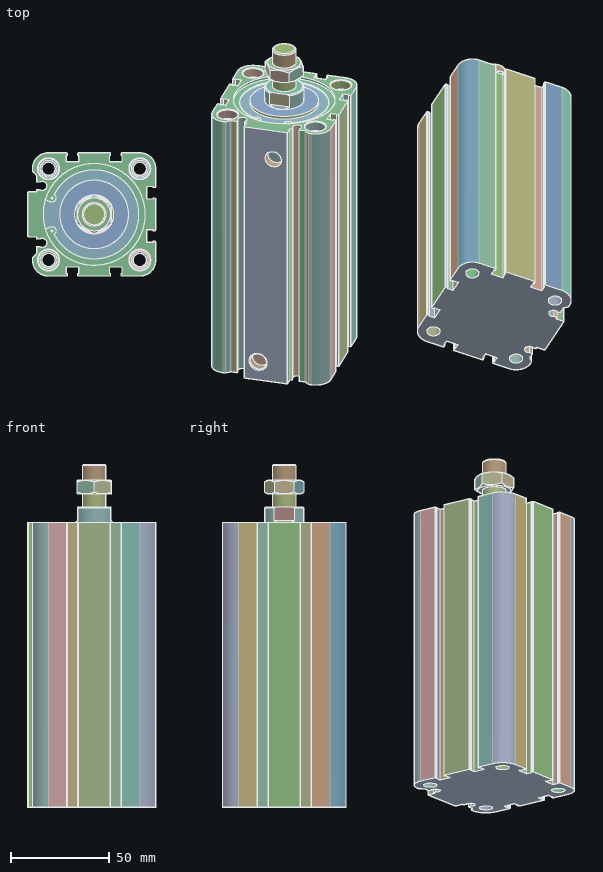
import cadquery as cq
import math

TOTAL_HEIGHT = 175.0
HOUSING_HEIGHT = 145.5
HOUSING_SIZE = 63.0
HALF = HOUSING_SIZE / 2

BOLT_OFFSET = 23.3
CORNER_RADIUS = HALF - BOLT_OFFSET
BOLT_HOLE_D = 6.6
BOLT_CHAMFER_D = 8.5
COUNTERBORE_D = 10.5
COUNTERBORE_CHAMFER = 0.4
COUNTERBORE_DEPTH = 5.2

SLOT_OFFSET = 11.0
SLOT_MOUTH_WIDTH = 5.2
SLOT_MOUTH_CHAMFER = 0.4
SLOT_INNER_WIDTH = 6.3
SLOT_LIP = 1.4
SLOT_DEPTH = 4.5

PORT_FACE_X = -34.0
RECESS_FACE_X = -29.4
RECESS_HALF_WIDTH = 20.0
RECESS_RAMP = HALF + RECESS_FACE_X
RECESS_FILLET = 0.7
BLOCK_HALF_WIDTH = 11.5
BLOCK_CHAMFER = 0.4
KEYHOLE_OFFSET = 14.5
KEYHOLE_MOUTH_WIDTH = 3.8
KEYHOLE_D = 4.5
KEYHOLE_X = -26.5

PORT_D = 8.5
PORT_DEPTH = 4.7
PORT_OFFSET = 4.0
UPPER_PORT_Z = HOUSING_HEIGHT - 16.5
LOWER_PORT_Z = 10.5
LOWER_PORT_CHAMFER = 0.5

BORE_D = 52.0
BORE_DEPTH = 2.0
BOSS_D = 35.0
BOSS_DROP = 0.4
RING_INNER_D = 45.5
RING_DROP = 1.4
LUG_X = -21.5
LUG_Y = 8.4
LUG_RADIUS = 2.1
LUG_HOLE_D = 1.0

ROD_D = 20.0
ROD_DEPTH = 35.0
COLLAR_TOP = HOUSING_HEIGHT + 7.9
COLLAR_CHAMFER = 0.5
FLAT_WIDTH = 17.0
FLAT_BOTTOM = HOUSING_HEIGHT + 0.9
FLAT_RUNOUT_ANGLE = 45.0
THREAD_D = 12.0
THREAD_CHAMFER = 0.7
NUT_BOTTOM = HOUSING_HEIGHT + 14.4
NUT_HEIGHT = 7.2
NUT_SIDES = 6
NUT_WIDTH = 17.5
NUT_FACE_D = 16.8
NUT_CHAMFER_ANGLE = 30.0


def cylinder(diameter, bottom, top):
    return cq.Workplane("XY").workplane(offset=bottom).circle(diameter / 2).extrude(top - bottom)


def prism_box(x0, x1, y0, y1, bottom=0, top=HOUSING_HEIGHT):
    box = cq.Workplane("XY").box(x1 - x0, y1 - y0, top - bottom, centered=False)
    return box.translate((x0, y0, bottom))


def sensor_slot():
    """Undercut slot in the +X side, running the full height, with chamfered mouth edges."""
    half_mouth = SLOT_MOUTH_WIDTH / 2
    half_inner = SLOT_INNER_WIDTH / 2
    lip_x = HALF - SLOT_LIP
    upper_half = [
        (HALF - SLOT_DEPTH, half_inner),
        (lip_x, half_inner),
        (lip_x, half_mouth),
        (HALF - SLOT_MOUTH_CHAMFER, half_mouth),
        (HALF, half_mouth + SLOT_MOUTH_CHAMFER),
    ]
    lower_half = [(x, -y) for x, y in reversed(upper_half)]
    return cq.Workplane("XY").polyline(upper_half + lower_half).close().extrude(HOUSING_HEIGHT)


def cut_sensor_slots(body):
    for angle in (0, 90, 270):
        for side in (-1, 1):
            slot = sensor_slot().translate((0, side * SLOT_OFFSET, 0))
            body = body.cut(slot.rotate((0, 0, 0), (0, 0, 1), angle))
    return body


def side_recess():
    """Shallow recess of the -X side, with ramped ends."""
    ramp_end = RECESS_HALF_WIDTH + RECESS_RAMP
    return (
        cq.Workplane("XY")
        .polyline([
            (-HALF, -ramp_end),
            (RECESS_FACE_X, -RECESS_HALF_WIDTH),
            (RECESS_FACE_X, RECESS_HALF_WIDTH),
            (-HALF, ramp_end),
        ])
        .close()
        .extrude(HOUSING_HEIGHT)
        .edges("|Z and >X")
        .fillet(RECESS_FILLET)
    )


def port_block():
    block = prism_box(PORT_FACE_X, RECESS_FACE_X, -BLOCK_HALF_WIDTH, BLOCK_HALF_WIDTH)
    return block.edges("|Z and <X").chamfer(BLOCK_CHAMFER)


def keyhole_slot(y):
    half_mouth = KEYHOLE_MOUTH_WIDTH / 2
    mouth = prism_box(RECESS_FACE_X, KEYHOLE_X, y - half_mouth, y + half_mouth)
    return mouth.union(cylinder(KEYHOLE_D, 0, HOUSING_HEIGHT).translate((KEYHOLE_X, y, 0)))


def housing_profile():
    body = prism_box(-HALF, HALF, -HALF, HALF).edges("|Z").fillet(CORNER_RADIUS)
    body = cut_sensor_slots(body)
    body = body.cut(side_recess())
    for side in (-1, 1):
        ramp_top = (-HALF, side * (RECESS_HALF_WIDTH + RECESS_RAMP), HOUSING_HEIGHT / 2)
        body = body.edges(cq.NearestToPointSelector(ramp_top)).fillet(RECESS_FILLET)
    body = body.union(port_block())
    for side in (-1, 1):
        body = body.cut(keyhole_slot(side * KEYHOLE_OFFSET))
    return body


def bolt_hole():
    """Through hole with a counterbore at the top; both have chamfered mouths."""
    floor = HOUSING_HEIGHT - COUNTERBORE_DEPTH
    chamfer = (BOLT_CHAMFER_D - BOLT_HOLE_D) / 2
    return (
        cq.Workplane("XZ")
        .polyline([
            (0, 0),
            (BOLT_HOLE_D / 2, 0),
            (BOLT_HOLE_D / 2, floor - chamfer),
            (BOLT_CHAMFER_D / 2, floor),
            (COUNTERBORE_D / 2, floor),
            (COUNTERBORE_D / 2, HOUSING_HEIGHT - COUNTERBORE_CHAMFER),
            (COUNTERBORE_D / 2 + COUNTERBORE_CHAMFER, HOUSING_HEIGHT),
            (0, HOUSING_HEIGHT),
        ])
        .close()
        .revolve(360, (0, 0, 0), (0, 1, 0))
    )


def port(y, z, chamfer=0.0):
    """Blind port in the -X face, with an optional mouth chamfer."""
    face = cq.Workplane("YZ", origin=(PORT_FACE_X, y, z))
    hole = face.circle(PORT_D / 2).extrude(PORT_DEPTH)
    if chamfer:
        mouth = face.circle(PORT_D / 2 + chamfer).extrude(chamfer, taper=45)
        hole = hole.union(mouth)
    return hole


def retaining_ring():
    """Open ring on the recess floor, with a drilled lug at each end."""
    floor = HOUSING_HEIGHT - BORE_DEPTH
    top = HOUSING_HEIGHT - RING_DROP
    disc = cylinder(BORE_D, floor, top)
    gap = (
        cq.Workplane("XY")
        .workplane(offset=floor)
        .polyline([(0, 0), (2 * LUG_X, 2 * LUG_Y), (2 * LUG_X, -2 * LUG_Y)])
        .close()
        .extrude(top - floor)
    )
    ring = disc.cut(cylinder(RING_INNER_D, floor, top)).cut(gap)
    lug_angle = math.degrees(math.atan2(LUG_Y, -LUG_X))
    for side in (-1, 1):
        lug_tail = prism_box(-BORE_D, 0, -LUG_RADIUS, LUG_RADIUS, floor, top)
        lug_tail = lug_tail.rotate((0, 0, 0), (0, 0, 1), -side * lug_angle)
        lug = cylinder(2 * LUG_RADIUS, floor, top).union(lug_tail)
        lug = lug.translate((LUG_X, side * LUG_Y, 0)).intersect(disc)
        hole = cylinder(LUG_HOLE_D, floor, top).translate((LUG_X, side * LUG_Y, 0))
        ring = ring.union(lug).cut(hole)
    return ring


def make_housing():
    body = housing_profile()
    for x in (-BOLT_OFFSET, BOLT_OFFSET):
        for y in (-BOLT_OFFSET, BOLT_OFFSET):
            body = body.cut(bolt_hole().translate((x, y, 0)))
    body = body.cut(port(-PORT_OFFSET, UPPER_PORT_Z))
    body = body.cut(port(PORT_OFFSET, LOWER_PORT_Z, LOWER_PORT_CHAMFER))
    floor = HOUSING_HEIGHT - BORE_DEPTH
    body = body.cut(cylinder(BORE_D, floor, HOUSING_HEIGHT))
    body = body.union(cylinder(BOSS_D, floor, HOUSING_HEIGHT - BOSS_DROP))
    body = body.union(retaining_ring())
    return body.cut(cylinder(ROD_D, HOUSING_HEIGHT - ROD_DEPTH, HOUSING_HEIGHT))


def wrench_flat():
    """Cutter for the flat on the +X side of the rod collar, with a sloped run-out at the bottom."""
    flat_x = FLAT_WIDTH / 2
    runout_x = ROD_D / 2
    runout_bottom = FLAT_BOTTOM - (runout_x - flat_x) * math.tan(math.radians(FLAT_RUNOUT_ANGLE))
    return (
        cq.Workplane("XZ")
        .polyline([
            (flat_x, COLLAR_TOP),
            (flat_x, FLAT_BOTTOM),
            (runout_x, runout_bottom),
            (runout_x, COLLAR_TOP),
        ])
        .close()
        .extrude(ROD_D / 2, both=True)
    )


def nut():
    """Hexagon with a flat pair facing X, and its corners chamfered at both ends."""
    half_side_angle = 180 / NUT_SIDES
    corner_d = NUT_WIDTH / math.cos(math.radians(half_side_angle))
    hexagon = (
        cq.Workplane("XY")
        .workplane(offset=NUT_BOTTOM)
        .transformed(rotate=(0, 0, half_side_angle))
        .polygon(NUT_SIDES, corner_d)
        .extrude(NUT_HEIGHT)
    )
    nut_top = NUT_BOTTOM + NUT_HEIGHT
    corner_drop = (corner_d - NUT_FACE_D) / 2 * math.tan(math.radians(NUT_CHAMFER_ANGLE))
    blank = (
        cq.Workplane("XZ")
        .polyline([
            (0, NUT_BOTTOM),
            (NUT_FACE_D / 2, NUT_BOTTOM),
            (corner_d / 2, NUT_BOTTOM + corner_drop),
            (corner_d / 2, nut_top - corner_drop),
            (NUT_FACE_D / 2, nut_top),
            (0, nut_top),
        ])
        .close()
        .revolve(360, (0, 0, 0), (0, 1, 0))
    )
    return hexagon.intersect(blank)


def make_rod():
    collar = cylinder(ROD_D, HOUSING_HEIGHT - ROD_DEPTH, COLLAR_TOP).faces(">Z").chamfer(COLLAR_CHAMFER)
    for angle in (0, 180):
        collar = collar.cut(wrench_flat().rotate((0, 0, 0), (0, 0, 1), angle))
    thread = cylinder(THREAD_D, COLLAR_TOP, TOTAL_HEIGHT).faces(">Z").chamfer(THREAD_CHAMFER)
    return collar.union(thread).union(nut())


housing = make_housing()
rod = make_rod()

result = cq.Compound.makeCompound([housing.val(), rod.val()])